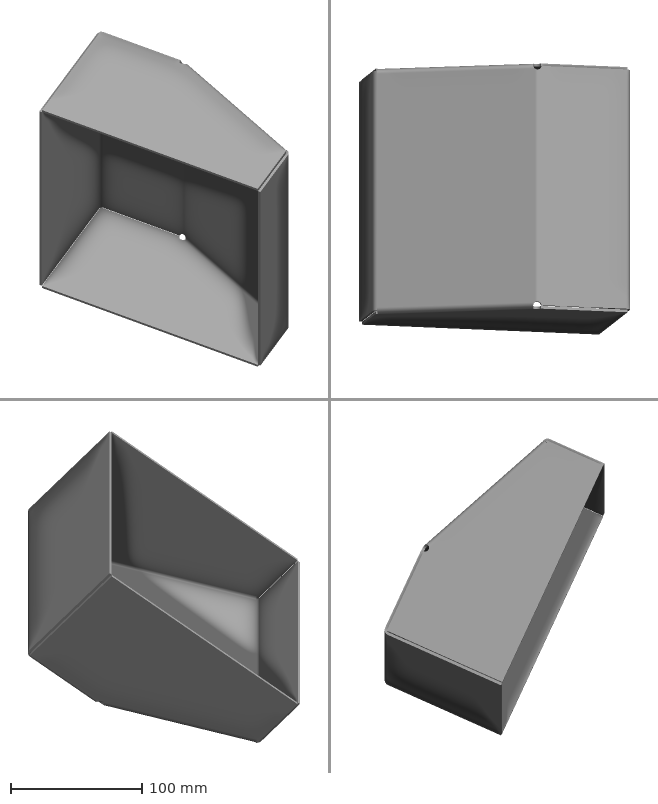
import cadquery as cq
import math

width = 190.0
height = 190.0
depth = 99.0
right_depth = 48.5
knee_from_left = 74.1
sheet = 2.0
bend_radius = 4.4
seam_gap = 0.2
relief_radius = 3.0

left = -width / 2
right = width / 2
front = -depth / 2
back = depth / 2
knee_x = left + knee_from_left
shoulder_y = front + right_depth
slope_rise = back - shoulder_y
slope_run = right - knee_x
slope_angle = math.atan2(slope_rise, slope_run)
slope_length = math.hypot(slope_run, slope_rise)
strip_height = height - 2 * (sheet + seam_gap)

knee_setback = bend_radius * math.tan(slope_angle / 2)
shoulder_setback = bend_radius * math.tan((math.pi / 2 - slope_angle) / 2)
straight_length = slope_length - knee_setback - shoulder_setback

between_plates = cq.Workplane("XY").box(2 * width, 2 * depth, height - 2 * sheet)


def outline(front_y, inset=0.0):
    """Sharp-cornered outline with the walls moved inward by the inset."""
    knee_shift = inset * math.tan(slope_angle / 2)
    shoulder_shift = inset * math.tan((math.pi / 2 - slope_angle) / 2)
    return cq.Workplane("XY").polyline([
        (left + inset, front_y),
        (left + inset, back - inset),
        (knee_x - knee_shift, back - inset),
        (right - inset, shoulder_y - shoulder_shift),
        (right - inset, front_y),
    ]).close()


def folded_prism(front_y, inset, prism_height):
    """Outline prism with its three wall corners rounded concentrically."""
    prism = outline(front_y, inset).extrude(prism_height / 2, both=True)
    corners = prism.edges("|Z").edges(cq.selectors.BoxSelector(
        (-width, front + sheet, -height), (width, depth, height)))
    return corners.fillet(bend_radius - inset)


def make_wall_strip():
    """Left wall, back, slope and right wall folded from one strip."""
    outer = folded_prism(front, 0.0, strip_height)
    cavity = folded_prism(front - sheet, sheet, height)
    return outer.cut(cavity)


def slope_block(block_depth, block_height, inset=0.0):
    """Block along the straight slope, inset from the outside sheet surface."""
    block = cq.Workplane("XY").box(
        straight_length, block_depth, block_height, centered=(False, False, True))
    block = block.translate((knee_setback, -inset - block_depth, 0))
    block = block.rotate((0, 0, 0), (0, 0, 1), -math.degrees(slope_angle))
    return block.translate((knee_x, back, 0))


def make_slope_channel():
    """Straight slope panel with a quarter-round bend along each end plate."""
    def round_outside(block, radius):
        toward_outside = cq.Vector(math.sin(slope_angle), math.cos(slope_angle), 0)
        long_edges = block.faces(cq.selectors.DirectionMinMaxSelector(toward_outside, True))
        along_slope = cq.Vector(math.cos(slope_angle), -math.sin(slope_angle), 0)
        return long_edges.edges(cq.selectors.ParallelDirSelector(along_slope)).fillet(radius)

    block_depth = 2 * bend_radius
    outer = round_outside(slope_block(block_depth, height), bend_radius)
    inner = round_outside(
        slope_block(block_depth, height - 2 * sheet, sheet), bend_radius - sheet)
    return outer.cut(inner).intersect(slope_block(bend_radius, height))


def make_end_plates():
    """Flat plates at the top and bottom, inside the wall edges."""
    plates = outline(front, sheet + seam_gap).extrude(height / 2, both=True)
    return plates.cut(between_plates)


def make_corner_reliefs():
    """Round reliefs where the back-to-slope bend meets each end plate."""
    relief_x = knee_x - knee_setback
    plate_relief = cq.Workplane("XY").center(relief_x, back - sheet).circle(relief_radius)
    reliefs = plate_relief.extrude(height / 2, both=True)
    reliefs = reliefs.cut(between_plates)
    for side in (-1, 1):
        strip_relief = (
            cq.Workplane("XZ", origin=(relief_x, back + sheet, side * (height / 2 - sheet)))
            .circle(relief_radius)
            .extrude(bend_radius + 2 * sheet)
        )
        reliefs = reliefs.union(strip_relief.intersect(between_plates))
    return reliefs


slope_band = slope_block(bend_radius, height)
flat_sheets = make_wall_strip().union(make_end_plates()).cut(slope_band)
folded_cover = flat_sheets.union(make_slope_channel())
result = folded_cover.cut(make_corner_reliefs())